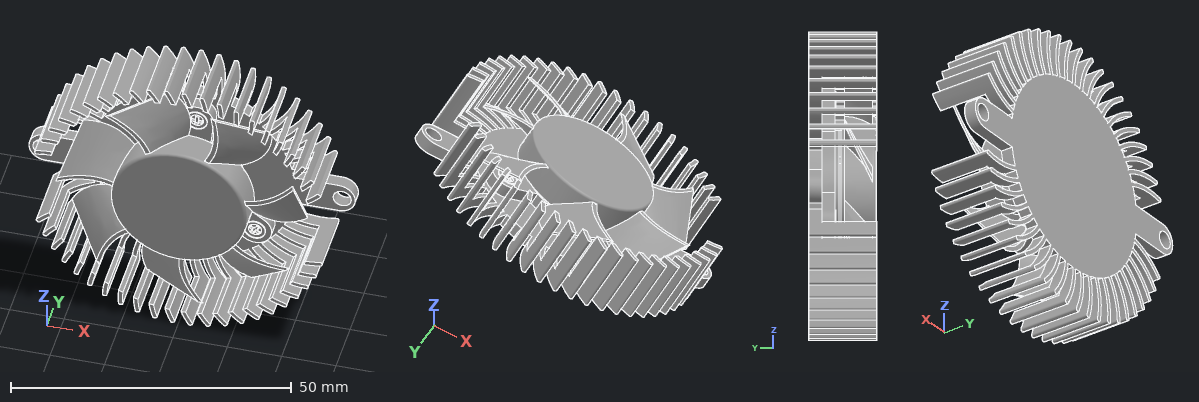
import cadquery as cq
import math


SINK_DEPTH = 12.2
BASE_DEPTH = 2.4
BASE_RADIUS = 19.0
WELL_RADIUS = 24.55
FIN_OUTER_RADIUS = 27.4
FIN_THICKNESS = 0.85
FIN_TIP_ROUNDING = 0.3
FIN_BEND_RADIUS = 14.35
FIN_BEND_RISE = 13.85
FIN_BEND_REACH = 19.55
FIN_PITCH = 360 / 52
FINS_PER_BANK = 22
FIRST_FIN_ANGLE = 15.0
EAR_LENGTH = 60.0
EAR_WIDTH = 6.0
EAR_HOLE_SPACING = 55.2
EAR_HOLE_DIAMETER = 3.3

FRAME_DEPTH = 2.35
FRAME_RADIUS = 9.95
ARM_WIDTH = 6.1
SCREW_CIRCLE_RADIUS = 15.0
SCREW_ANGLES = [84.3 + 120 * i for i in range(3)]
SCREW_HEAD_DIAMETER = 3.85
SCREW_HEAD_HEIGHT = 0.2
SCREW_SHANK_DIAMETER = 2.4
CROSS_LENGTH = 2.05
CROSS_WIDTH = 0.6
CROSS_DEPTH = 0.6

STATOR_THICKNESS = 0.7
BOARD_THICKNESS = 0.35
NOTCH_ANGLE = 152.0
NOTCH_RADIUS = 0.65
YOKE_RADIUS = 10.3
YOKE_THICKNESS = 0.55

HUB_RADIUS = 12.5
HUB_FRONT_DEPTH = 12.05
HUB_ROUNDING = 0.6
BLADE_COUNT = 7
FIRST_BLADE_ANGLE = 110.0
BLADE_ROOT = 10.5
BLADE_TIP = 21.8
BLADE_SECTIONS = 5
BLADE_THICKNESS = 0.95
BLADE_FRONT_DEPTH = 11.4
LEADING_OFFSET = -1.2
LEADING_VERTEX = 12.6
LEADING_BEND_RADIUS = 9.6
TRAILING_OFFSET = 6.55
TRAILING_VERTEX = 17.1
TRAILING_BEND_RADIUS = 7.9

frame_front = BASE_DEPTH + FRAME_DEPTH
stator_front = frame_front + STATOR_THICKNESS
board_front = stator_front + BOARD_THICKNESS
yoke_front = board_front + YOKE_THICKNESS


def plane_at(depth):
    """Plane facing the front (-Y) at the given depth; local x, y are X, Z."""
    return cq.Workplane("XZ", origin=(0, -depth, 0))


def disc(radius, depth, thickness):
    return plane_at(depth).circle(radius).extrude(thickness)


def turned(body, angle):
    """Turn a body about the fan axis, counterclockwise seen from the front."""
    return body.rotate((0, 0, 0), (0, -1, 0), angle)


def polar(radius, angle):
    return radius * math.cos(math.radians(angle)), radius * math.sin(math.radians(angle))


def make_fin():
    """One curved fin whose root lies near the +X direction."""
    half = FIN_THICKNESS / 2

    def bend_point(radius, angle):
        x, z = polar(radius, angle)
        return FIN_BEND_REACH + x, FIN_BEND_RISE + z

    def bend_angle(distance):
        """Angle on the bend at which its centre line is at this distance from the fan axis."""
        centre_distance = math.hypot(FIN_BEND_REACH, FIN_BEND_RISE)
        cosine = (distance**2 - centre_distance**2 - FIN_BEND_RADIUS**2) / (
            2 * centre_distance * FIN_BEND_RADIUS
        )
        towards_axis = math.degrees(math.atan2(FIN_BEND_RISE, FIN_BEND_REACH))
        return towards_axis - math.degrees(math.acos(cosine))

    root = bend_angle(BASE_RADIUS - FIN_THICKNESS)
    tip = bend_angle(FIN_OUTER_RADIUS)
    middle = (root + tip) / 2
    tip_x, tip_z = bend_point(FIN_BEND_RADIUS, tip)
    fin = (
        plane_at(0)
        .moveTo(*bend_point(FIN_BEND_RADIUS + half, root))
        .threePointArc(
            bend_point(FIN_BEND_RADIUS + half, middle), bend_point(FIN_BEND_RADIUS + half, tip)
        )
        .lineTo(*bend_point(FIN_BEND_RADIUS - half, tip))
        .threePointArc(
            bend_point(FIN_BEND_RADIUS - half, middle), bend_point(FIN_BEND_RADIUS - half, root)
        )
        .close()
        .extrude(SINK_DEPTH)
    )
    tip_face = fin.faces(cq.NearestToPointSelector((tip_x, -SINK_DEPTH / 2, tip_z)))
    return tip_face.edges("|Y").fillet(FIN_TIP_ROUNDING)


def make_screw_holes(depth, thickness):
    points = [polar(SCREW_CIRCLE_RADIUS, angle) for angle in SCREW_ANGLES]
    return plane_at(depth).pushPoints(points).circle(SCREW_SHANK_DIAMETER / 2).extrude(thickness)


def make_heat_sink():
    fin = make_fin().cut(disc(WELL_RADIUS, BASE_DEPTH, SINK_DEPTH))
    base = disc(BASE_RADIUS, 0, BASE_DEPTH)
    ears = plane_at(0).slot2D(EAR_LENGTH, EAR_WIDTH).extrude(BASE_DEPTH)
    sink = base.union(ears)
    for bank_angle in (0, 180):
        for i in range(FINS_PER_BANK):
            sink = sink.union(turned(fin, bank_angle + FIRST_FIN_ANGLE + i * FIN_PITCH))
    ear_holes = (
        plane_at(0)
        .rarray(EAR_HOLE_SPACING, 0.6, 2, 1)
        .circle(EAR_HOLE_DIAMETER / 2)
        .extrude(BASE_DEPTH)
    )
    return sink.cut(ear_holes)


def make_frame():
    frame = disc(FRAME_RADIUS, BASE_DEPTH, FRAME_DEPTH)
    arm = (
        plane_at(BASE_DEPTH)
        .center(SCREW_CIRCLE_RADIUS / 2, 0)
        .slot2D(SCREW_CIRCLE_RADIUS + ARM_WIDTH, ARM_WIDTH)
        .extrude(FRAME_DEPTH)
    )
    for angle in SCREW_ANGLES:
        frame = frame.union(turned(arm, angle))
    return frame.cut(make_screw_holes(BASE_DEPTH, FRAME_DEPTH))


def make_screw(angle):
    """Cross-slotted screw whose head stands on a frame arm."""
    centre = plane_at(BASE_DEPTH).center(SCREW_CIRCLE_RADIUS, 0)
    shank = centre.circle(SCREW_SHANK_DIAMETER / 2).extrude(FRAME_DEPTH)
    head = (
        plane_at(frame_front)
        .center(SCREW_CIRCLE_RADIUS, 0)
        .circle(SCREW_HEAD_DIAMETER / 2)
        .extrude(SCREW_HEAD_HEIGHT)
    )
    slots = plane_at(frame_front + SCREW_HEAD_HEIGHT).center(SCREW_CIRCLE_RADIUS, 0)
    screw = shank.union(head)
    screw = screw.cut(slots.rect(CROSS_LENGTH, CROSS_WIDTH).extrude(-CROSS_DEPTH))
    screw = screw.cut(slots.rect(CROSS_WIDTH, CROSS_LENGTH).extrude(-CROSS_DEPTH))
    return turned(screw, angle)


def make_stator():
    return disc(FRAME_RADIUS, frame_front, STATOR_THICKNESS)


def make_circuit_board():
    """Thin disc with one round notch in its rim."""
    notch = (
        plane_at(stator_front)
        .center(FRAME_RADIUS, 0)
        .circle(NOTCH_RADIUS)
        .extrude(BOARD_THICKNESS)
    )
    return disc(FRAME_RADIUS, stator_front, BOARD_THICKNESS).cut(turned(notch, NOTCH_ANGLE))


def make_yoke():
    return disc(YOKE_RADIUS, board_front, YOKE_THICKNESS)


def bowed_edge(reach, offset, vertex, bend_radius):
    """Sideways place of a blade edge that bends away from its vertex."""
    return offset - (reach - vertex) ** 2 / (2 * bend_radius)


def blade_section(reach):
    """Slanted section of the blade in the plane at this distance from the fan axis."""
    leading = bowed_edge(reach, LEADING_OFFSET, LEADING_VERTEX, LEADING_BEND_RADIUS)
    trailing = bowed_edge(reach, TRAILING_OFFSET, TRAILING_VERTEX, TRAILING_BEND_RADIUS)
    corners = [
        (reach, -BLADE_FRONT_DEPTH, -leading),
        (reach, -BLADE_FRONT_DEPTH, -leading + BLADE_THICKNESS),
        (reach, -yoke_front, -trailing + BLADE_THICKNESS),
        (reach, -yoke_front, -trailing),
    ]
    return cq.Wire.makePolygon([cq.Vector(*corner) for corner in corners], close=True)


def make_blade():
    """Twisted blade whose radial line is +X."""
    step = (BLADE_TIP - BLADE_ROOT) / (BLADE_SECTIONS - 1)
    sections = [blade_section(BLADE_ROOT + i * step) for i in range(BLADE_SECTIONS)]
    return cq.Workplane(cq.Solid.makeLoft(sections))


def make_fan():
    hub = disc(HUB_RADIUS, yoke_front, HUB_FRONT_DEPTH - yoke_front)
    fan = hub.faces("<Y").edges().fillet(HUB_ROUNDING)
    blade = make_blade()
    for i in range(BLADE_COUNT):
        fan = fan.union(turned(blade, FIRST_BLADE_ANGLE + i * 360 / BLADE_COUNT))
    return fan


heat_sink = make_heat_sink()
frame = make_frame()
screws = [make_screw(angle) for angle in SCREW_ANGLES]
stator = make_stator()
circuit_board = make_circuit_board()
yoke = make_yoke()
fan = make_fan()

result = cq.Compound.makeCompound(
    [
        heat_sink.val(),
        frame.val(),
        *[screw.val() for screw in screws],
        stator.val(),
        circuit_board.val(),
        yoke.val(),
        fan.val(),
    ]
)